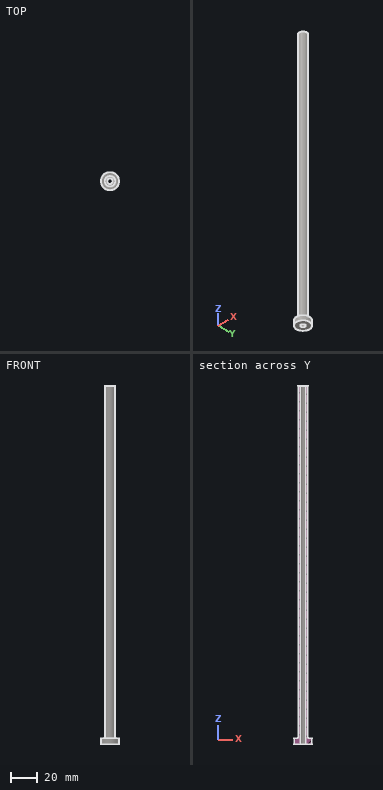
import cadquery as cq

total_length = 275.0
head_diameter = 14.0
head_height = 5.0
shaft_diameter = 8.0
bore_diameter = 4.0
root_fillet = 0.5

head_radius = head_diameter / 2
shaft_radius = shaft_diameter / 2
fillet_top = head_height + root_fillet
fillet_outer_radius = shaft_radius + root_fillet

profile = (
    cq.Workplane("XZ")
    .lineTo(head_radius, 0)
    .lineTo(head_radius, head_height)
    .lineTo(fillet_outer_radius, head_height)
    .radiusArc((shaft_radius, fillet_top), root_fillet)
    .lineTo(shaft_radius, total_length)
    .lineTo(0, total_length)
    .close()
)
body = profile.revolve(360, (0, 0, 0), (0, 1, 0))

bore = cq.Workplane("XY").circle(bore_diameter / 2).extrude(total_length)

result = body.cut(bore)